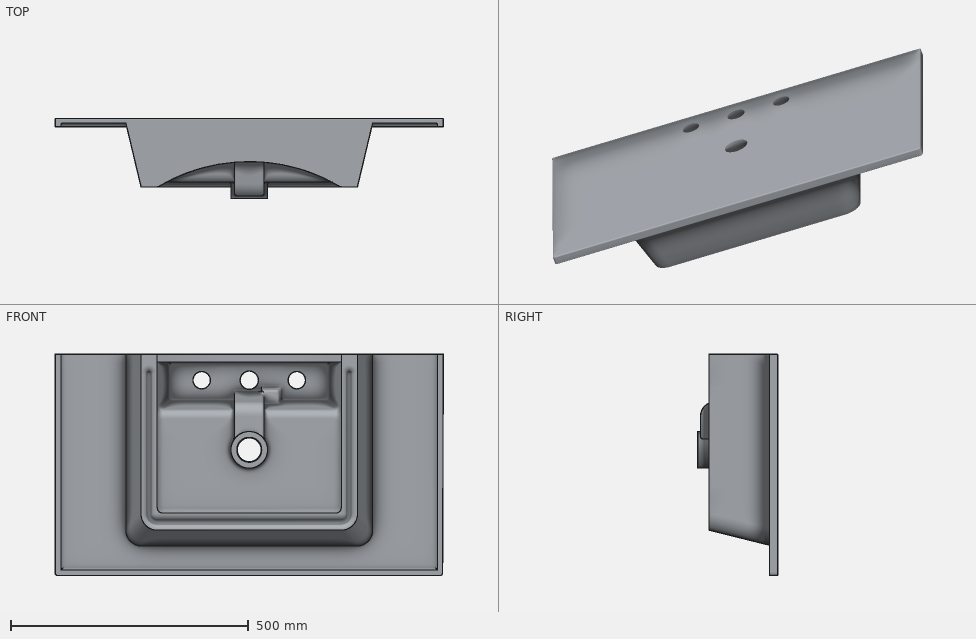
import cadquery as cq
import math


slab_width = 816.57
slab_height = 465.78
slab_depth = 18.0
slab_edge_lean = 1.57
slab_corner_radius = 6.0
slab_face_fillet = 3.0
slab_underside_fillet = 1.5
recess_depth = 10.0
recess_rim_width = 12.5
recess_fillet = 4.5

skirt_depth = 145.0
skirt_half_width = 227.5
skirt_drop = 370.0
skirt_base_half_width = 259.6
skirt_base_drop = 403.6
skirt_corner_radius = 34.0

groove_width = 34.0
groove_lip_radius = 12.0
groove_depth = 17.0
groove_start_drop = 41.0

cavity_half_width = skirt_half_width - groove_width
groove_corner_drop = skirt_drop - groove_width
front_lip = 2.0
cavity_front_drop = groove_corner_drop - front_lip
back_wall = 16.6
ledge_depth = 27.0
cavity_corner_radius = 12.0
draft = 12.0

bowl_depth = 134.0
bowl_edge_radius = 20.0
bowl_floor_drop = 136.0
seam_fillet = 9.0
ledge_fillet = 5.0

cutout_half_width = cavity_half_width
cutout_height = 54.0

channel_half_width = 31.0
channel_depth = 163.0
channel_edge_radius = 30.0
channel_flat_drop = 130.5
channel_edge_fillet = 5.0
base_fillet = 5.0

inlet_depth = 64.0
inlet_inner_side = 26.0
inlet_side = 62.0
inlet_drop = 76.5
inlet_fillet = 5.0

drain_drop = 201.0
drain_boss_radius = 38.5
drain_depth = 169.0
drain_hole_radius = 25.0
drain_hole_chamfer = 1.3
tap_drop = 54.7
tap_spacing = 100.0
middle_tap_diameter = 38.0
side_tap_diameter = 36.0

margin = 30.0


def at_depth(depth):
    """Workplane parallel to the rim face, with local x = X, local y = Z and its normal along -Y."""
    return cq.Workplane("XZ", origin=(0, -depth, 0))


def loft_between(depth_1, points_1, depth_2, points_2):
    """Solid with straight walls between two outlines at two depths."""
    return (
        at_depth(depth_1).polyline(points_1).close()
        .workplane(offset=depth_2 - depth_1).polyline(points_2).close()
        .loft(ruled=True)
    )


def box_outline(left, right, drop_back, drop_front):
    return [(left, -drop_back), (right, -drop_back), (right, -drop_front), (left, -drop_front)]


def make_slab():
    half = slab_width / 2
    outline = [(-half, 0), (half, 0), (half - slab_edge_lean, -slab_height), (-half, -slab_height)]
    slab = at_depth(0).polyline(outline).close().extrude(slab_depth)
    front_corners = cq.selectors.BoxSelector(
        (-slab_width, -slab_depth, -slab_height - 1), (slab_width, 0, -slab_height + 1)
    )
    slab = slab.edges("not(#Y)").edges(front_corners).fillet(slab_corner_radius)
    slab = slab.faces(">Y").edges().fillet(slab_face_fillet)
    slab = slab.faces("<Y").edges("not(>Z)").fillet(slab_underside_fillet)

    rim_half = half - recess_rim_width
    rim_drop = slab_height - recess_rim_width
    recess = at_depth(recess_depth).polyline(box_outline(-rim_half, rim_half, -margin, rim_drop)).close()
    recess = recess.extrude(slab_depth - recess_depth)
    recess = recess.faces(">Y").edges("not(>Z)").fillet(recess_fillet)
    return slab.cut(recess)


def skirt_outline(workplane, half_width, drop):
    """Closed outline with a straight back edge and two rounded front corners."""
    r = skirt_corner_radius
    turn = r * (1 - math.sqrt(0.5))
    return (
        workplane.moveTo(-half_width, 0).lineTo(half_width, 0).lineTo(half_width, r - drop)
        .threePointArc((half_width - turn, turn - drop), (half_width - r, -drop))
        .lineTo(r - half_width, -drop)
        .threePointArc((turn - half_width, turn - drop), (-half_width, r - drop))
        .close()
    )


def make_skirt():
    base = skirt_outline(at_depth(recess_depth), skirt_base_half_width, skirt_base_drop)
    face = base.workplane(offset=skirt_depth - recess_depth)
    return skirt_outline(face, skirt_half_width, skirt_drop).loft(ruled=True)


def wall_run(depth_span, angle):
    return depth_span * math.tan(math.radians(angle))


def stepped_profile(depth, flat_drop, radius):
    """Side profile, extruded along X: sloping wall, rounded edge, then a flat at the given depth."""
    slope = math.radians(draft)
    arc_centre = (-depth + radius, -flat_drop)
    wall_top = (
        arc_centre[0] - radius * math.sin(slope),
        -flat_drop + radius * math.cos(slope),
    )
    middle = (math.radians(90) - slope) / 2
    arc_middle = (
        arc_centre[0] - radius * math.cos(middle),
        -flat_drop + radius * math.sin(middle),
    )
    wall_foot = (0, wall_top[1] + wall_run(-wall_top[0], draft))
    return wall_foot, wall_top, arc_middle, (-depth, -flat_drop)


def make_step(depth, flat_drop, radius, half_width, front_drop):
    wall_foot, wall_top, arc_middle, arc_end = stepped_profile(depth, flat_drop, radius)
    return (
        cq.Workplane("YZ", origin=(-half_width, 0, 0))
        .moveTo(*wall_foot).lineTo(*wall_top).threePointArc(arc_middle, arc_end)
        .lineTo(-depth, -front_drop).lineTo(0, -front_drop).close()
        .extrude(2 * half_width)
    )


def make_cavity():
    run = wall_run(skirt_depth - ledge_depth, draft)
    ledge_half = cavity_half_width - run
    cavity = loft_between(
        ledge_depth, box_outline(-ledge_half, ledge_half, back_wall, cavity_front_drop - run),
        skirt_depth, box_outline(-cavity_half_width, cavity_half_width, back_wall, cavity_front_drop),
    )
    front_corners = cq.selectors.BoxSelector(
        (-slab_width, -skirt_depth, -slab_height), (slab_width, -ledge_depth, -cavity_front_drop + run + 1)
    )
    cavity = cavity.edges("not(#Y)").edges("not(#Z)").edges(front_corners).fillet(cavity_corner_radius)
    bowl = make_step(bowl_depth, bowl_floor_drop, bowl_edge_radius, slab_width / 2, slab_height)
    cavity = cavity.cut(bowl)

    front_seam = cq.selectors.NearestToPointSelector((0, -bowl_depth, -cavity_front_drop))
    cavity = cavity.edges(front_seam).fillet(seam_fillet)
    return cavity.faces(">Y").edges().fillet(ledge_fillet)


def make_cutout():
    """Segment of a cylinder that lowers the back wall in an arc."""
    return (
        cq.Workplane("XY")
        .moveTo(-cutout_half_width, -skirt_depth)
        .threePointArc((0, cutout_height - skirt_depth), (cutout_half_width, -skirt_depth))
        .close()
        .extrude(-(back_wall + margin))
    )


def groove_half_profile():
    """Points of one half of the groove section: (distance from the groove centre, depth)."""
    half = groove_width / 2
    lip_bottom = (half - groove_lip_radius, skirt_depth - groove_lip_radius)
    turn = groove_lip_radius * math.sqrt(0.5)
    lip_middle = (half - turn, skirt_depth - groove_lip_radius + turn)
    return (half, skirt_depth), lip_middle, lip_bottom


def groove_section(origin, across):
    """Section of the groove on the plane spanned by the across direction and the -Y direction."""
    lip, lip_middle, lip_bottom = groove_half_profile()
    normal = cq.Vector(*across).cross(cq.Vector(0, -1, 0))
    plane = cq.Plane(origin=origin, xDir=across, normal=normal.toTuple())
    return (
        cq.Workplane(plane)
        .moveTo(*lip).threePointArc(lip_middle, lip_bottom)
        .threePointArc((0, skirt_depth - groove_depth), (-lip_bottom[0], lip_bottom[1]))
        .threePointArc((-lip_middle[0], lip_middle[1]), (-lip[0], lip[1]))
        .close()
    )


def groove_end(origin):
    """Funnel that rounds off the groove: half of its section turned about the groove centre."""
    lip, lip_middle, lip_bottom = groove_half_profile()
    turn = lip_bottom[0] * math.sqrt(0.5)
    return (
        cq.Workplane("XY", origin=origin)
        .moveTo(lip[0], -lip[1])
        .threePointArc((lip_middle[0], -lip_middle[1]), (lip_bottom[0], -lip_bottom[1]))
        .threePointArc((turn, -lip_bottom[1] + turn), (0, groove_depth - skirt_depth))
        .lineTo(0, -lip[1]).close()
        .revolve(360, (0, 0, 0), (0, 1, 0))
    )


def make_groove():
    half = groove_width / 2
    centre = cavity_half_width + half
    side_length = groove_corner_drop - groove_start_drop
    front = groove_section((-cavity_half_width, 0, -groove_corner_drop - half), (0, 0, 1))
    groove = front.extrude(2 * cavity_half_width)
    for side in (-1, 1):
        run = groove_section((side * centre, 0, -groove_start_drop), (side, 0, 0))
        run = run.extrude(side * side_length)
        corner = groove_section((side * centre, 0, -groove_corner_drop), (side, 0, 0))
        corner = corner.revolve(90, (-half, 0, 0), (-half, -side, 0))
        end = groove_end((side * centre, 0, -groove_start_drop))
        groove = groove.union(run).union(corner).union(end)
    return groove


def make_channel():
    channel = make_step(channel_depth, channel_flat_drop, channel_edge_radius, channel_half_width, drain_drop)
    top_edges = channel.edges("(>X or <X) and (not(<Z)) and (not(>Y))")
    channel = top_edges.fillet(channel_edge_fillet)
    boss = at_depth(bowl_depth - margin).center(0, -drain_drop).circle(drain_boss_radius)
    return channel.union(boss.extrude(drain_depth - bowl_depth + margin))


def make_inlet():
    run = wall_run(inlet_depth, draft)
    front_drop = inlet_drop + 2 * margin
    inlet = loft_between(
        0, box_outline(inlet_inner_side, inlet_side + run, inlet_drop - run, front_drop),
        inlet_depth, box_outline(inlet_inner_side, inlet_side, inlet_drop, front_drop),
    )
    corner = cq.selectors.NearestToPointSelector(
        (inlet_side + run / 2, -inlet_depth / 2, -inlet_drop + run / 2)
    )
    rounded = inlet.faces("<Y").edges("not(<Z)").add(inlet.edges(corner))
    return rounded.fillet(inlet_fillet)


def make_holes():
    holes = at_depth(-margin).center(0, -drain_drop).circle(drain_hole_radius)
    holes = holes.extrude(drain_depth + margin)
    countersink = at_depth(drain_depth - drain_hole_chamfer).center(0, -drain_drop).circle(drain_hole_radius)
    countersink = countersink.workplane(offset=drain_hole_chamfer)
    holes = holes.union(countersink.circle(drain_hole_radius + drain_hole_chamfer).loft())
    tap_holes = {-tap_spacing: side_tap_diameter, 0: middle_tap_diameter, tap_spacing: side_tap_diameter}
    for x, diameter in tap_holes.items():
        hole = at_depth(-margin).center(x, -tap_drop).circle(diameter / 2)
        holes = holes.union(hole.extrude(skirt_depth / 2 + margin))
    return holes


def fillet_near(body, radius, points):
    """Fillet the edges that pass closest to the points, with the smooth chains they belong to."""
    edges = [body.edges(cq.selectors.NearestToPointSelector(point)).val() for point in points]
    return cq.Workplane(body.val().fillet(radius, edges))


body = make_slab().union(make_skirt()).cut(make_cavity()).union(make_channel())
_, channel_wall_top, _, _ = stepped_profile(channel_depth, channel_flat_drop, channel_edge_radius)
channel_foot_drop = -channel_wall_top[1] - wall_run(-channel_wall_top[0] - ledge_depth, draft)
channel_foot = (0, -ledge_depth, -channel_foot_drop)
boss_foot = (0, -bowl_depth, -drain_drop - drain_boss_radius)
body = fillet_near(body, base_fillet, [channel_foot, boss_foot])

body = body.union(make_inlet())
inlet_foot = ((inlet_inner_side + inlet_side) / 2, -ledge_depth, wall_run(inlet_depth - ledge_depth, draft) - inlet_drop)
body = fillet_near(body, base_fillet, [inlet_foot])

result = body.cut(make_cutout()).cut(make_groove()).cut(make_holes())